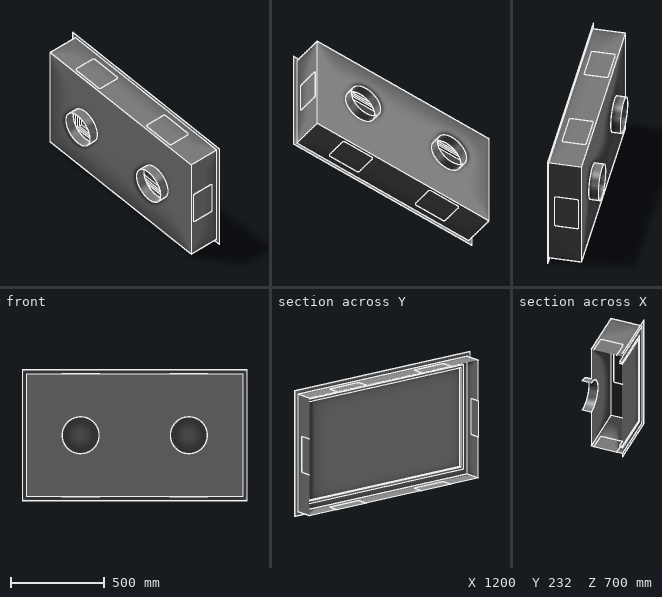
import cadquery as cq

flange_length = 1200.0
flange_height = 700.0
sheet = 1.0
depth = 232.0
collar_height = 52.0

box_length = 1155.0
box_height = flange_height - (flange_length - box_length)
rear_y = collar_height - depth
port_spacing = box_length / 2
port_positions = [-port_spacing / 2, port_spacing / 2]

frame_inset = 52.0
frame_width = 15.0
frame_depth = 15.0

collar_diameter = 198.0
bore_diameter = collar_diameter - 2 * sheet

cover_length = 200.0
cover_width = 131.0
cover_thickness = 1.0
cover_corner_radius = 10.0
cover_rear_gap = 15.0
cover_y = rear_y + cover_rear_gap + cover_width / 2

half_turn = 180
quarter_turn = half_turn / 2


def slab(length, height, near_y, far_y):
    """Rectangular block centred on X and Z, spanning near_y to far_y."""
    thickness = far_y - near_y
    return cq.Workplane("XY").box(length, thickness, height).translate((0, (near_y + far_y) / 2, 0))


def make_frame():
    """Rectangular frame standing inward from the back of the front panel."""
    inner_y = -sheet - frame_depth
    outer_length = box_length - 2 * (frame_inset - frame_width)
    outer_height = box_height - 2 * (frame_inset - frame_width)
    outer = slab(outer_length, outer_height, inner_y, -sheet)
    opening = slab(outer_length - 2 * frame_width, outer_height - 2 * frame_width, inner_y, -sheet)
    return outer.cut(opening)


def make_housing():
    """Hollow sheet box with a front flange, an inner frame and two rear ports."""
    flange = slab(flange_length, flange_height, -sheet, 0)
    shell = slab(box_length, box_height, rear_y, -sheet)
    cavity = slab(box_length - 2 * sheet, box_height - 2 * sheet, rear_y + sheet, -sheet)
    housing = shell.cut(cavity).union(flange).union(make_frame())
    for x in port_positions:
        port = cq.Workplane("XZ", origin=(x, rear_y + sheet, 0)).circle(bore_diameter / 2).extrude(sheet)
        housing = housing.cut(port)
    return housing


def make_collar(x):
    """Thin tube standing on the rear face around a port."""
    return (
        cq.Workplane("XZ", origin=(x, rear_y, 0))
        .circle(collar_diameter / 2)
        .circle(bore_diameter / 2)
        .extrude(collar_height)
    )


def make_cover():
    """Cover plate lying on Z = 0, long side along X, with rounded corners."""
    plate = cq.Workplane("XY").rect(cover_length, cover_width).extrude(cover_thickness)
    return plate.edges("|Z").fillet(cover_corner_radius)


def make_long_side_cover(x, side):
    """Cover on the top (side = 1) or bottom (side = -1) of the housing."""
    cover = make_cover().translate((0, 0, box_height / 2))
    if side < 0:
        cover = cover.rotate((0, 0, 0), (0, 1, 0), half_turn)
    return cover.translate((x, cover_y, 0))


def make_end_cover(side):
    """Cover on the +X (side = 1) or -X (side = -1) end of the housing."""
    cover = make_cover().translate((0, 0, box_length / 2))
    return cover.rotate((0, 0, 0), (0, 1, 0), side * quarter_turn).translate((0, cover_y, 0))


housing = make_housing()
collars = [make_collar(x) for x in port_positions]
long_side_covers = [make_long_side_cover(x, side) for side in (1, -1) for x in port_positions]
end_covers = [make_end_cover(side) for side in (1, -1)]

bodies = [housing, *collars, *long_side_covers, *end_covers]
result = cq.Compound.makeCompound([body.val() for body in bodies])